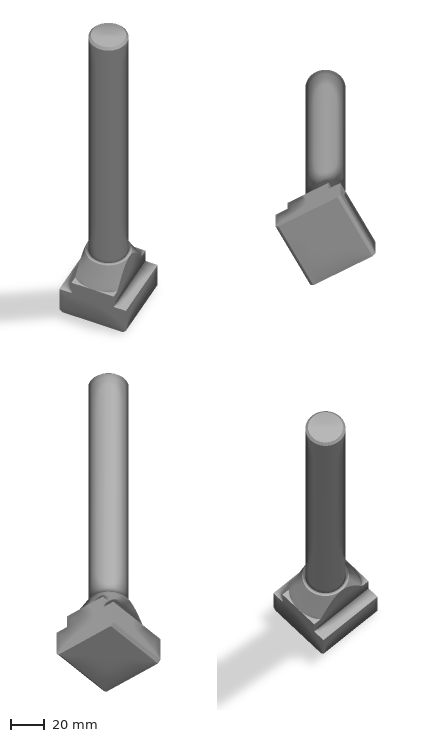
import cadquery as cq

total_height = 218.0
head_width = 44.0
head_height = 18.3
head_chamfer = 2.0
neck_width = 28.0
neck_straight_top = 26.8
neck_top = 41.2
shank_diameter = 24.0
shank_chamfer = 1.5


def make_head():
    """Square head with chamfers along the two lower edges parallel to Y."""
    head = cq.Workplane("XY").box(head_width, head_width, head_height, centered=(True, True, False))
    return head.faces("<Z").edges("|Y").chamfer(head_chamfer)


def make_neck():
    """Slot-wide neck: a plain block below a cone trimmed to the slot width."""
    block_height = neck_straight_top - head_height
    block = (
        cq.Workplane("XY", origin=(0, 0, head_height))
        .box(neck_width, head_width, block_height, centered=(True, True, False))
    )
    cone_height = neck_top - neck_straight_top
    cone = cq.Workplane("XY").add(
        cq.Solid.makeCone(head_width / 2, neck_width / 2, cone_height, pnt=cq.Vector(0, 0, neck_straight_top))
    )
    trim = (
        cq.Workplane("XY", origin=(0, 0, neck_straight_top))
        .box(neck_width, head_width, cone_height, centered=(True, True, False))
    )
    return block.union(cone.intersect(trim))


def make_shank():
    """Round shank with a chamfered tip."""
    shank = (
        cq.Workplane("XY", origin=(0, 0, neck_top))
        .circle(shank_diameter / 2)
        .extrude(total_height - neck_top)
    )
    return shank.faces(">Z").edges().chamfer(shank_chamfer)


result = make_head().union(make_neck()).union(make_shank())